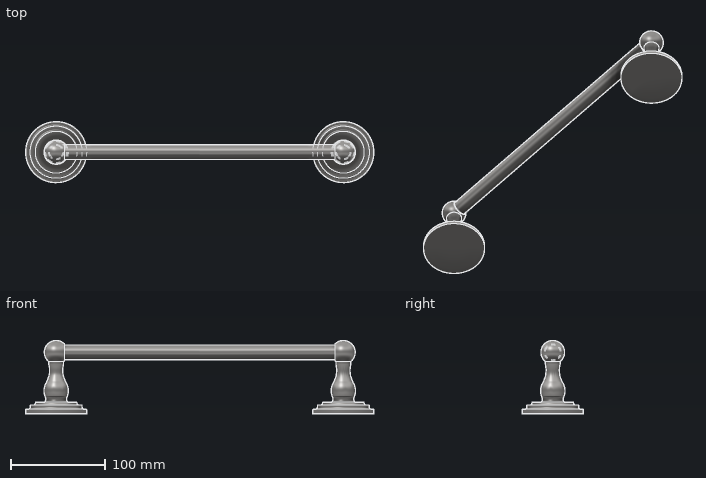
import cadquery as cq

POST_SPACING = 304.8
BALL_RADIUS = 12.7
OVERALL_HEIGHT = 78.12
BALL_HEIGHT = OVERALL_HEIGHT - BALL_RADIUS

BAR_RADIUS = 7.94
BALL_FLAT_OFFSET = 9.1

FLANGE_RADIUS = 32.51
FLANGE_TOP = 5.1
MIDDLE_STEP_RADIUS = 27.7
MIDDLE_STEP_TOP = 9.6
TOP_STEP_RADIUS = 22.2
TOP_STEP_TOP = 12.7
RIM_ROUND = 1.0
COVE_RADIUS = 2.0

STEM_FOOT_RADIUS = 12.3
STEM_COVE_HEIGHT = 5.9
STEM_COVE_DEPTH = 1.0
BULGE_BOTTOM_RADIUS = 12.0
BULGE_BOTTOM = TOP_STEP_TOP + STEM_COVE_HEIGHT
BULGE_RADIUS = 13.1
BULGE_HEIGHT = 24.0
BULGE_TOP_RADIUS = 10.0
BULGE_TOP = 34.3
NECK_RADIUS = 7.1
NECK_HEIGHT = 45.5
COLLAR_RADIUS = 8.0
COLLAR_BOTTOM = 53.0


def add_rim(profile, radius, top):
    """Continue a flange profile up a step's wall and over its quarter-round rim."""
    return profile.lineTo(radius, top - RIM_ROUND).radiusArc((radius - RIM_ROUND, top), -RIM_ROUND)


def add_coved_step(profile, radius, foot, top):
    """Continue a flange profile inward to a step, through its cove and over its rim."""
    profile = profile.lineTo(radius + COVE_RADIUS, foot)
    profile = profile.radiusArc((radius, foot + COVE_RADIUS), COVE_RADIUS)
    return add_rim(profile, radius, top)


def flange():
    profile = cq.Workplane("XZ").moveTo(0, 0).lineTo(FLANGE_RADIUS, 0)
    profile = add_rim(profile, FLANGE_RADIUS, FLANGE_TOP)
    profile = add_coved_step(profile, MIDDLE_STEP_RADIUS, FLANGE_TOP, MIDDLE_STEP_TOP)
    profile = add_coved_step(profile, TOP_STEP_RADIUS, MIDDLE_STEP_TOP, TOP_STEP_TOP)
    return profile.lineTo(0, TOP_STEP_TOP).close().revolve()


def stem():
    cove_middle = (
        (STEM_FOOT_RADIUS + BULGE_BOTTOM_RADIUS) / 2 - STEM_COVE_DEPTH,
        (TOP_STEP_TOP + BULGE_BOTTOM) / 2,
    )
    return (
        cq.Workplane("YZ")
        .moveTo(0, 0)
        .lineTo(STEM_FOOT_RADIUS, 0)
        .lineTo(STEM_FOOT_RADIUS, TOP_STEP_TOP)
        .threePointArc(cove_middle, (BULGE_BOTTOM_RADIUS, BULGE_BOTTOM))
        .threePointArc((BULGE_RADIUS, BULGE_HEIGHT), (BULGE_TOP_RADIUS, BULGE_TOP))
        .threePointArc((NECK_RADIUS, NECK_HEIGHT), (COLLAR_RADIUS, COLLAR_BOTTOM))
        .lineTo(COLLAR_RADIUS, BALL_HEIGHT)
        .lineTo(0, BALL_HEIGHT)
        .close()
        .revolve()
    )


def ball():
    """Ball with a flat on its +X side for the bar."""
    ball_size = 2 * BALL_RADIUS
    kept_block = cq.Workplane("XY").box(ball_size, ball_size, ball_size)
    kept_block = kept_block.translate((BALL_FLAT_OFFSET - BALL_RADIUS, 0, 0))
    sphere = cq.Workplane("XY").sphere(BALL_RADIUS)
    return sphere.intersect(kept_block).translate((0, 0, BALL_HEIGHT))


def post():
    return flange().union(stem()).union(ball())


def bar():
    return (
        cq.Workplane("YZ")
        .center(0, BALL_HEIGHT)
        .circle(BAR_RADIUS)
        .extrude(POST_SPACING / 2, both=True)
    )


left_post = post().translate((-POST_SPACING / 2, 0, 0))
right_post = left_post.mirror("YZ")
result = left_post.union(right_post).union(bar())